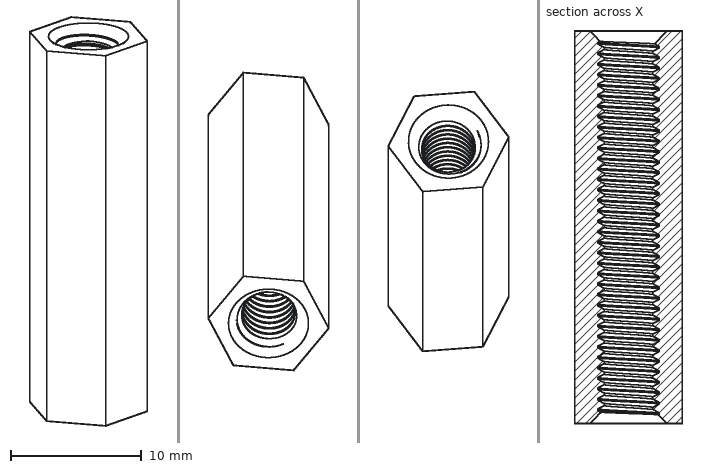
import cadquery as cq
import math

length = 30.0
across_flats = 8.0
across_corners = across_flats / math.cos(math.pi / 6)

bore_radius = 2.05
thread_root_radius = 2.5
turns_per_length = 37.5
thread_pitch = length / turns_per_length
root_flat = thread_pitch / 8
flank_slope = math.tan(math.pi / 6)
thread_start_angle = 90.0
spare_turns = 2

countersink_radius = 3.05
countersink_depth = 1.1


def hex_body():
    hexagon = cq.Workplane("XY").polygon(6, across_corners)
    return hexagon.extrude(length).rotate((0, 0, 0), (0, 0, 1), 30)


def countersink():
    """Cone that opens downwards, with its wide end on Z = 0."""
    return cq.Workplane(cq.Solid.makeCone(countersink_radius, bore_radius, countersink_depth))


def turn_helix(radius, start_height):
    """One right-handed turn."""
    return cq.Wire.makeHelix(
        thread_pitch, thread_pitch, radius, center=cq.Vector(0, 0, start_height)
    ).Edges()[0]


def end_face(axis, profile, start_height):
    """Helical end of the core, with the radial step where its turn closes."""
    bottom, top = start_height, start_height + thread_pitch
    helicoid = cq.Face.makeRuledSurface(axis, turn_helix(bore_radius, bottom))
    step_points = [(0, 0, bottom)]
    step_points += [(radius, 0, bottom + rise) for radius, rise in profile]
    step_points += [(0, 0, top)]
    step = cq.Face.makeFromWires(
        cq.Wire.makePolygon([cq.Vector(*point) for point in step_points], close=True)
    )
    return [helicoid, step]


def thread_core():
    """Solid screw that fills the threaded bore, bounded by ruled helical faces."""
    flank_rise = (thread_root_radius - bore_radius) * flank_slope
    profile = [
        (bore_radius, 0),
        (thread_root_radius, flank_rise),
        (thread_root_radius, flank_rise + root_flat),
        (bore_radius, 2 * flank_rise + root_flat),
        (bore_radius, thread_pitch),
    ]
    start = -spare_turns * thread_pitch
    turns = math.ceil(length / thread_pitch) + 2 * spare_turns
    faces = []
    for turn in range(turns):
        base = start + turn * thread_pitch
        helices = [turn_helix(radius, base + rise) for radius, rise in profile]
        for lower, upper in zip(helices, helices[1:]):
            faces.append(cq.Face.makeRuledSurface(lower, upper))
    for height in (start, start + turns * thread_pitch):
        axis = cq.Edge.makeLine(cq.Vector(0, 0, height), cq.Vector(0, 0, height + thread_pitch))
        faces += end_face(axis, profile, height)
    core = cq.Solid.makeSolid(cq.Shell.makeShell(faces))
    return cq.Workplane(core).rotate((0, 0, 0), (0, 0, 1), thread_start_angle)


bottom_countersink = countersink()
top_countersink = countersink().mirror("XY").translate((0, 0, length))
result = hex_body().cut(thread_core()).cut(bottom_countersink).cut(top_countersink)